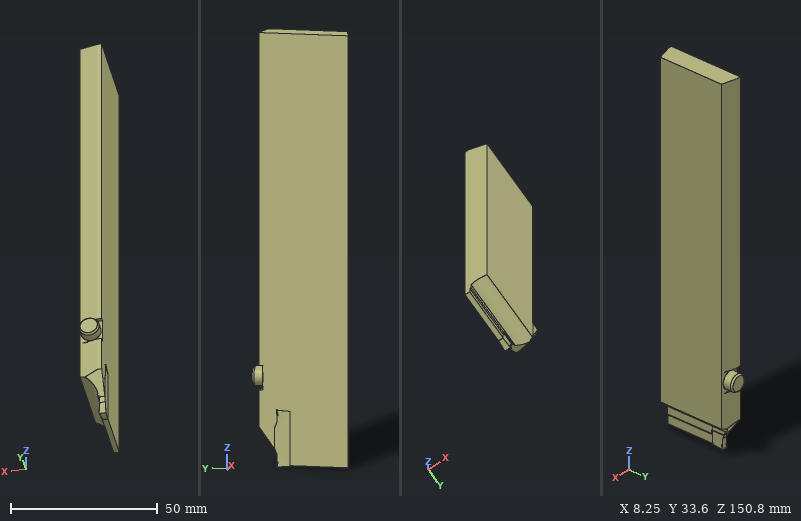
import cadquery as cq
import math


holder_length = 150.0
holder_height = 31.0
holder_thickness = 8.0
edge_land = 1.5
edge_angle = 15.0
edge_drop = (holder_thickness - edge_land) * math.tan(math.radians(edge_angle))

blade_thickness = 2.4
blade_straight_length = 7.3
blade_runout_z = 12.2
runout_mid_x = 4.6
runout_mid_z = 10.4
tip_step_start_z = 4.2
tip_step_end_z = 3.6

insert_thickness = 2.0
insert_bottom_y = 20.1
cutting_edge_y = 24.7
insert_top_y = 25.5
insert_length = 20.2
tip_overhang = 0.8
insert_center_z = insert_length / 2 - tip_overhang
end_land_y = 24.3
end_land_relief = 0.25
end_relief = 0.5
raised_half_length = 3.75
ramp_length = 1.8
head_overhang = 0.25
head_radius = 3.2

jaw_start_z = 13.2
jaw_end_z = insert_center_z - raised_half_length

screw_z = 30.2
screw_x = holder_thickness / 2
screw_diameter = 7.0
screw_top_y = 33.6
screw_chamfer_height = 0.8
screw_chamfer_width = 0.5
seat_length = 8.4
seat_floor_y = 29.6


def make_bar():
    """Bar with a narrow land and a sloped flank along both long edges."""
    return (
        cq.Workplane("XY")
        .moveTo(0, 0)
        .lineTo(edge_land, 0)
        .lineTo(holder_thickness, edge_drop)
        .lineTo(holder_thickness, holder_height - edge_drop)
        .lineTo(edge_land, holder_height)
        .lineTo(0, holder_height)
        .close()
        .extrude(holder_length)
    )


def make_blade_relief():
    """Material removed behind the blade: the tip is as thin as the insert, the top a curved runout."""
    return (
        cq.Workplane("XZ")
        .moveTo(insert_thickness, 0)
        .lineTo(insert_thickness, tip_step_end_z)
        .lineTo(blade_thickness, tip_step_start_z)
        .lineTo(blade_thickness, blade_straight_length)
        .threePointArc((runout_mid_x, runout_mid_z), (holder_thickness, blade_runout_z))
        .lineTo(holder_thickness, 0)
        .close()
        .extrude(-holder_height)
    )


def make_jaw_relief():
    """Corner removed in front of the slanted jaw and above the cutting edge."""
    return (
        cq.Workplane("YZ")
        .moveTo(holder_height, jaw_start_z)
        .lineTo(insert_top_y, jaw_end_z)
        .lineTo(insert_bottom_y, jaw_end_z)
        .lineTo(insert_bottom_y, 0)
        .lineTo(holder_height, 0)
        .close()
        .extrude(holder_thickness)
    )


def make_seat_slot():
    """Flat-bottomed slot across the full holder thickness."""
    return (
        cq.Workplane("XY", origin=(screw_x, seat_floor_y, screw_z))
        .box(holder_thickness, holder_height, seat_length, centered=(True, False, True))
    )


def make_screw_head():
    head = (
        cq.Workplane("XZ", origin=(screw_x, seat_floor_y, screw_z))
        .circle(screw_diameter / 2)
        .extrude(seat_floor_y - screw_top_y)
    )
    return head.faces(">Y").edges().chamfer(screw_chamfer_height, screw_chamfer_width)


def insert_outline():
    """Side outline of the insert, with points mirrored about its middle."""
    half_length = insert_length / 2
    lower_end = [
        (insert_bottom_y, half_length - end_relief),
        (end_land_y, half_length - end_land_relief),
        (cutting_edge_y, half_length),
        (cutting_edge_y, raised_half_length + ramp_length),
        (insert_top_y, raised_half_length),
    ]
    lower = [(y, insert_center_z - z) for y, z in lower_end]
    upper = [(y, insert_center_z + z) for y, z in reversed(lower_end)]
    return cq.Workplane("YZ").polyline(lower + upper).close()


def make_insert():
    """Flat body whose side faces swell to a wider head at each cutting corner."""
    body = insert_outline().extrude(insert_thickness)
    envelope = (
        insert_outline()
        .extrude(insert_thickness + 2 * head_overhang)
        .translate((-head_overhang, 0, 0))
    )
    for end in (-1, 1):
        corner_z = insert_center_z + end * insert_length / 2
        for face_x, outward in ((0, -1), (insert_thickness, 1)):
            cone = cq.Solid.makeCone(
                head_radius,
                0,
                head_overhang,
                pnt=cq.Vector(face_x, cutting_edge_y, corner_z),
                dir=cq.Vector(outward, 0, 0),
            )
            body = body.union(envelope.intersect(cq.Workplane(obj=cone)))
    return body


insert = make_insert()

holder = (
    make_bar()
    .cut(make_blade_relief())
    .cut(make_jaw_relief())
    .cut(make_seat_slot())
    .union(make_screw_head())
    .cut(insert)
)

result = cq.Compound.makeCompound([holder.val(), insert.val()])